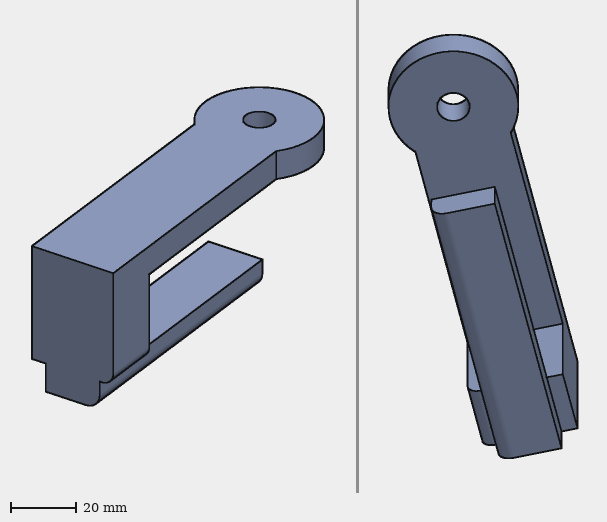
import cadquery as cq
import math

plate_thickness = 10.0
total_length = 123.2
total_height = 50.0
eye_radius = 20.0
hole_diameter = 10.0
upper_width = 30.0
lower_width = 20.0
web_depth = 20.0
web_corner_radius = 4.3
lower_corner_radius = 5.0

eye_y = total_length - eye_radius
arm_length = eye_y - math.sqrt(eye_radius**2 - (upper_width / 2) ** 2)
upper_z = total_height - plate_thickness
web_height = upper_z - plate_thickness


def bar(width, length, height, base_z):
    """Rectangular bar centred on X, running back from the front face."""
    return (
        cq.Workplane("XY")
        .workplane(offset=base_z)
        .center(0, length / 2)
        .rect(width, length)
        .extrude(height)
    )


def round_lower_right(body, radius):
    """Round the bottom edge on the +X side along the full length of a bar."""
    return body.edges("|Y").edges(">X").edges("<Z").fillet(radius)


eye = cq.Workplane("XY", origin=(0, eye_y, upper_z)).circle(eye_radius).extrude(plate_thickness)
hole = cq.Workplane("XY", origin=(0, eye_y, upper_z)).circle(hole_diameter / 2).extrude(plate_thickness)
upper_arm = bar(upper_width, eye_y, plate_thickness, upper_z).union(eye).cut(hole)

web = round_lower_right(bar(upper_width, web_depth, web_height, plate_thickness), web_corner_radius)

lower_arm = round_lower_right(bar(lower_width, arm_length, plate_thickness, 0), lower_corner_radius)

result = upper_arm.union(web).union(lower_arm)